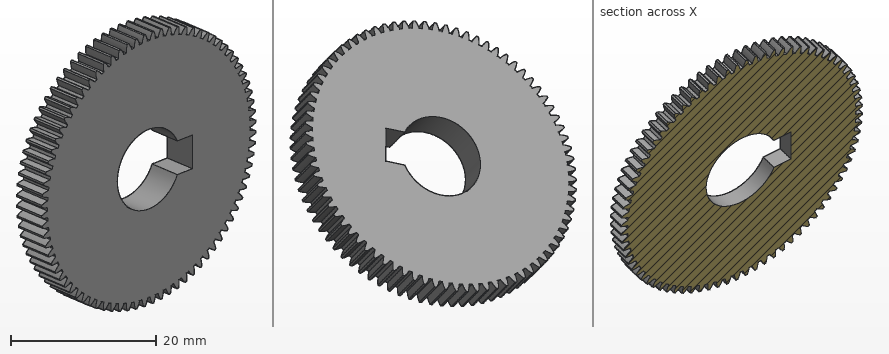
import cadquery as cq
import math

outer_size = 41.0
gear_width = 5.0
tooth_count = 80
root_radius = 19.4
pitch_radius = 20.0
root_tooth_thickness = 1.05
pitch_tooth_thickness = 0.75
tip_tooth_thickness = 0.307
bore_diameter = 12.0
keyway_width = 5.1
keyway_reach = 8.3

tooth_pitch_angle = 2 * math.pi / tooth_count
first_tooth_angle = tooth_pitch_angle / 2

tip_half_thickness = tip_tooth_thickness / 2
tip_corner_distance = (
    outer_size / 2 - tip_half_thickness * math.sin(first_tooth_angle)
) / math.cos(first_tooth_angle)
tip_radius = math.hypot(tip_corner_distance, tip_half_thickness)


def polar_point(radius, angle):
    return radius * math.cos(angle), radius * math.sin(angle)


def half_angle(thickness, radius):
    """Half of the angle that a tooth of this thickness covers at a radius."""
    return math.asin(thickness / 2 / radius)


def gear_outline():
    """Closed outline of all teeth with curved flanks and round tip and root lands."""
    root_half = half_angle(root_tooth_thickness, root_radius)
    pitch_half = half_angle(pitch_tooth_thickness, pitch_radius)
    tip_half = half_angle(tip_tooth_thickness, tip_radius)

    outline = cq.Workplane("YZ").moveTo(*polar_point(root_radius, first_tooth_angle - root_half))
    for tooth in range(tooth_count):
        middle = first_tooth_angle + tooth * tooth_pitch_angle
        gap_middle = middle + tooth_pitch_angle / 2
        next_tooth = middle + tooth_pitch_angle
        outline = outline.threePointArc(
            polar_point(pitch_radius, middle - pitch_half),
            polar_point(tip_radius, middle - tip_half),
        )
        outline = outline.threePointArc(
            polar_point(tip_radius, middle),
            polar_point(tip_radius, middle + tip_half),
        )
        outline = outline.threePointArc(
            polar_point(pitch_radius, middle + pitch_half),
            polar_point(root_radius, middle + root_half),
        )
        outline = outline.threePointArc(
            polar_point(root_radius, gap_middle),
            polar_point(root_radius, next_tooth - root_half),
        )
    return outline.close()


def gear_blank():
    return gear_outline().extrude(gear_width / 2, both=True)


def keyed_bore():
    """Through bore with a rectangular keyway on the +Y side."""
    bore = cq.Workplane("YZ").circle(bore_diameter / 2).extrude(gear_width / 2, both=True)
    keyway = (
        cq.Workplane("YZ")
        .center(keyway_reach / 2, 0)
        .rect(keyway_reach, keyway_width)
        .extrude(gear_width / 2, both=True)
    )
    return bore.union(keyway)


result = gear_blank().cut(keyed_bore())